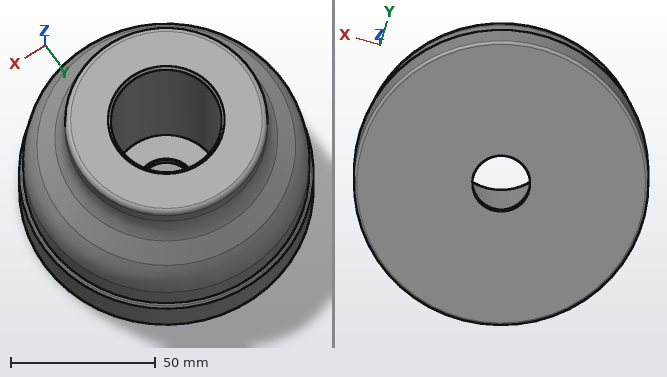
import cadquery as cq
import math

height = 63.0
cup_radius = 50.8

neck_radius = 35.0
body_radius = 49.4
shoulder_z = 26.6
shoulder_bend = 19.8
neck_bend = 14.4
flank_angle = math.radians(40.7)
top_round = 1.9
bore_radius = 19.1
bore_chamfer = 1.0

floor_thickness = 3.0
hole_radius = 10.0
hole_chamfer = 0.3
base_round = 1.0
bevel_start_z = 15.3
bevel_break_radius = 50.1
bevel_break_z = 16.3
rim_z = 17.0


def bend_point(center_radius, center_z, bend, angle):
    """Point (radius, z) on a bend, at an angle above its horizontal axis."""
    return (center_radius + bend * math.cos(angle), center_z + bend * math.sin(angle))


def make_buffer():
    """Bored, bell-shaped body standing on the cup floor."""
    shoulder_center = body_radius - shoulder_bend
    shoulder_mid = bend_point(shoulder_center, shoulder_z, shoulder_bend, flank_angle / 2)
    flank_bottom = bend_point(shoulder_center, shoulder_z, shoulder_bend, flank_angle)

    neck_center = neck_radius + neck_bend
    flank_top_radius = neck_center - neck_bend * math.cos(flank_angle)
    flank_rise = (flank_bottom[0] - flank_top_radius) / math.tan(flank_angle)
    flank_top = (flank_top_radius, flank_bottom[1] + flank_rise)
    neck_z = flank_top[1] + neck_bend * math.sin(flank_angle)
    neck_mid = bend_point(neck_center, neck_z, -neck_bend, flank_angle / 2)

    profile = (
        cq.Workplane("XZ")
        .moveTo(bore_radius, floor_thickness)
        .lineTo(body_radius, floor_thickness)
        .lineTo(body_radius, shoulder_z)
        .threePointArc(shoulder_mid, flank_bottom)
        .lineTo(*flank_top)
        .threePointArc(neck_mid, (neck_radius, neck_z))
        .lineTo(neck_radius, height)
        .lineTo(bore_radius, height)
        .close()
    )
    body = profile.revolve(360, (0, 0, 0), (0, 1, 0))
    body = body.faces(">Z").edges(cq.selectors.RadiusNthSelector(-1)).fillet(top_round)
    return body.faces(">Z").edges(cq.selectors.RadiusNthSelector(0)).chamfer(bore_chamfer)


def make_cup():
    """Shallow cup with a double-bevelled rim and a central floor hole."""
    profile = (
        cq.Workplane("XZ")
        .moveTo(hole_radius, 0)
        .lineTo(cup_radius, 0)
        .lineTo(cup_radius, bevel_start_z)
        .lineTo(bevel_break_radius, bevel_break_z)
        .lineTo(body_radius, rim_z)
        .lineTo(body_radius, floor_thickness)
        .lineTo(hole_radius + hole_chamfer, floor_thickness)
        .lineTo(hole_radius, floor_thickness - hole_chamfer)
        .close()
    )
    cup = profile.revolve(360, (0, 0, 0), (0, 1, 0))
    return cup.faces("<Z").edges(cq.selectors.RadiusNthSelector(-1)).fillet(base_round)


bell_buffer = make_buffer()
cup = make_cup()

result = cq.Compound.makeCompound([bell_buffer.val(), cup.val()])